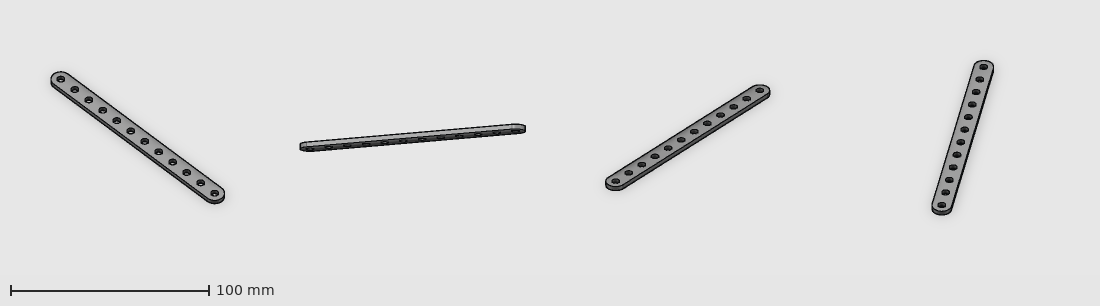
import cadquery as cq

length = 120.0
hole_count = 12
thickness = 2.5
hole_diameter = 3.8

pitch = length / hole_count
width = pitch

strip = cq.Workplane("XY").slot2D(length, width).extrude(thickness)

result = (
    strip.faces(">Z")
    .workplane()
    .rarray(pitch, width, hole_count, 1)
    .hole(hole_diameter)
)